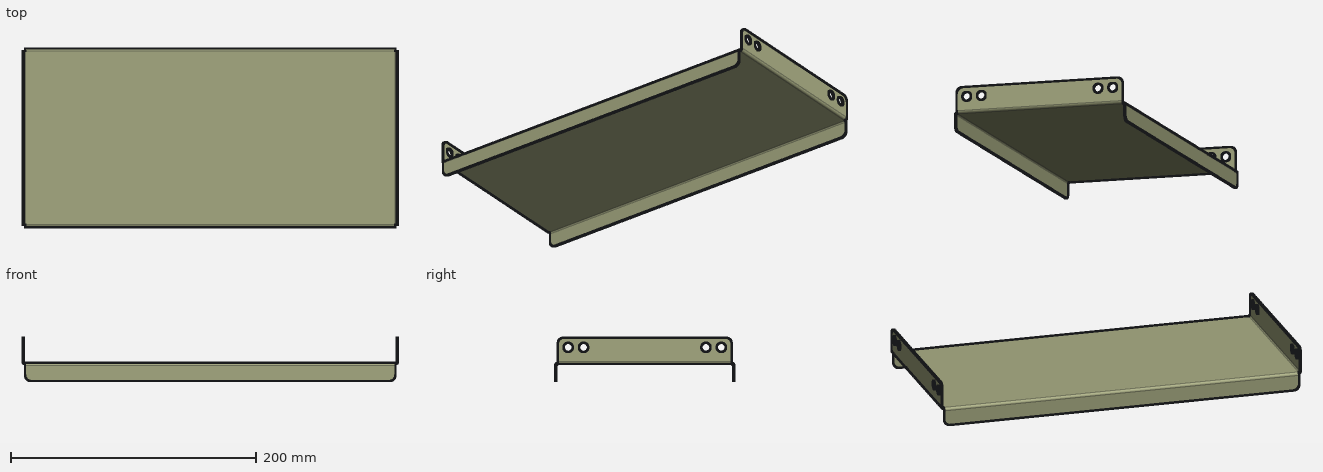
import cadquery as cq
import math

length = 306.0
width = 146.0
height = 35.5

thickness = 1.2
bend_outer_radius = 2.2
bend_inner_radius = bend_outer_radius - thickness

flange_inset = 2.0
corner_radius = 5.0
lip_depth = 15.0
bracket_height = height - lip_depth + thickness
bracket_span = width - 2 * flange_inset
lip_span = length - 2 * flange_inset

flat_length = length - 2 * bend_outer_radius
flat_width = width - 2 * bend_outer_radius

hole_diameter = 7.3
hole_drop = 8.0
hole_offsets = (50.0, 62.5)


def bent_flange(reach, rise, span):
    """Upward flange at the +X end: outer face at X = reach, lower edge at Z = 0, rounded free corners."""
    bend_x = reach - bend_outer_radius
    bend_z = bend_outer_radius
    diagonal = math.sqrt(0.5)
    outer_middle = bend_outer_radius * diagonal
    inner_middle = bend_inner_radius * diagonal
    flange = (
        cq.Workplane("XZ")
        .moveTo(bend_x, 0)
        .threePointArc((bend_x + outer_middle, bend_z - outer_middle), (reach, bend_z))
        .lineTo(reach, rise)
        .lineTo(reach - thickness, rise)
        .lineTo(reach - thickness, bend_z)
        .threePointArc((bend_x + inner_middle, bend_z - inner_middle), (bend_x, thickness))
        .close()
        .extrude(span / 2, both=True)
    )
    free_corners = flange.faces(">Z").edges("<Y or >Y")
    return free_corners.fillet(corner_radius)


plate = cq.Workplane("XY").box(flat_length, flat_width, thickness).translate((0, 0, -thickness / 2))

bracket = bent_flange(length / 2, bracket_height, bracket_span).translate((0, 0, -thickness))
hole_height = bracket_height - thickness - hole_drop
hole_points = [(side * offset, hole_height) for side in (-1, 1) for offset in hole_offsets]
holes = cq.Workplane("YZ").pushPoints(hole_points).circle(hole_diameter / 2).extrude(length)
bracket = bracket.cut(holes)

lip = bent_flange(width / 2, lip_depth, lip_span)
lip = lip.rotate((0, 0, 0), (1, 0, 0), 180).rotate((0, 0, 0), (0, 0, 1), 90)

result = plate
for flange, mirror_plane in ((bracket, "YZ"), (lip, "XZ")):
    result = result.union(flange).union(flange.mirror(mirror_plane))